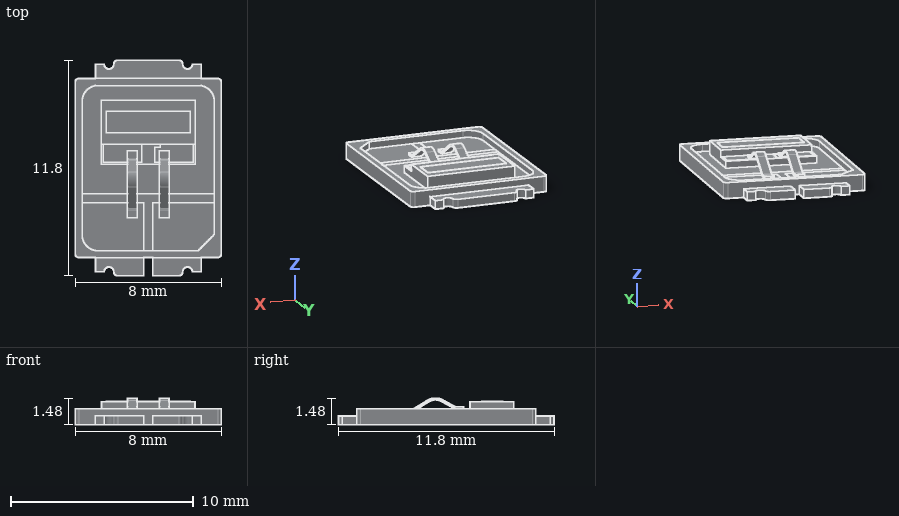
import cadquery as cq
import math

housing_width = 8.0
housing_length = 9.79
housing_height = 0.9
housing_corner_radius = 0.2

cavity_width = 7.22
cavity_back_y = 4.51
cavity_front_y = -4.52
cavity_corner_radius = 0.85
cavity_chamfer = 0.88

lead_thickness = 0.5
lead_gap = 0.48
back_lead_front_y = -1.4
front_lead_back_y = back_lead_front_y - lead_gap
lead_end_y = 5.9
tab_width = 5.79
tab_shoulder_y = 5.68
tab_round_radius = lead_end_y - tab_shoulder_y
notch_radius = 0.26
notch_center_x = 2.15

chip_width = 5.13
chip_back_y = 3.69
chip_front_y = 0.21
chip_step_y = 1.29
chip_step_z = 0.88
chip_top_z = 1.27

pad_height = 0.01
top_pad_width = 4.61
top_pad_back_y = 3.09
top_pad_front_y = 1.94
step_pad_inner_x = 0.35
step_pad_outer_x = 2.45
step_pad_front_y = 0.32
pad_notch_x = 0.66
pad_notch_y = 1.13

ribbon_width = 0.53
ribbon_thickness = 0.11
ribbon_center_x = 0.87
ribbon_back_y = 0.95
ribbon_front_y = -2.71
crest_y = -0.59
crest_z = 1.48
crest_radius = 0.81
back_slope = math.radians(28.8)
front_slope = math.radians(31.7)
foot_bend_radius = 0.14


def block(x_min, x_max, y_min, y_max, z_min, z_max):
    """Box between two corners."""
    size = (x_max - x_min, y_max - y_min, z_max - z_min)
    return cq.Workplane().box(*size, centered=False).translate((x_min, y_min, z_min))


def cavity_prism(z_min, z_max):
    """Solid with the cavity outline between two heights."""
    half_width = cavity_width / 2
    prism = block(-half_width, half_width, cavity_front_y, cavity_back_y, z_min, z_max)
    prism = prism.edges("|Z and (<X or >Y)").fillet(cavity_corner_radius)
    return prism.edges("|Z and >X and <Y").chamfer(cavity_chamfer)


def make_tab():
    """Back tab, from the middle of the part out to the lead end, with two round notches."""
    half_width = tab_width / 2
    notch_outer_x = notch_center_x + notch_radius
    notch_inner_x = notch_center_x - notch_radius
    notch_bottom_y = tab_shoulder_y - notch_radius
    end_half_width = notch_inner_x - tab_round_radius
    outline = (
        cq.Workplane()
        .moveTo(-half_width, 0)
        .lineTo(-half_width, tab_shoulder_y)
        .lineTo(-notch_outer_x, tab_shoulder_y)
        .threePointArc((-notch_center_x, notch_bottom_y), (-notch_inner_x, tab_shoulder_y))
        .radiusArc((-end_half_width, lead_end_y), tab_round_radius)
        .lineTo(end_half_width, lead_end_y)
        .radiusArc((notch_inner_x, tab_shoulder_y), tab_round_radius)
        .threePointArc((notch_center_x, notch_bottom_y), (notch_outer_x, tab_shoulder_y))
        .lineTo(half_width, tab_shoulder_y)
        .lineTo(half_width, 0)
        .close()
    )
    return outline.extrude(lead_thickness)


def make_lead(x_min, x_max, y_min, y_max):
    """Part of the lead plate, which fills the cavity outline and has a tab at each end."""
    tab = make_tab()
    plate = cavity_prism(0, lead_thickness).union(tab).union(tab.mirror("XZ"))
    return plate.intersect(block(x_min, x_max, y_min, y_max, 0, lead_thickness))


def make_back_lead():
    half_width = cavity_width / 2
    return make_lead(-half_width, half_width, back_lead_front_y, lead_end_y)


def make_front_lead(side):
    """Front lead on the -X side (side = -1) or the +X side (side = 1)."""
    x_min, x_max = sorted((side * lead_gap / 2, side * cavity_width / 2))
    return make_lead(x_min, x_max, -lead_end_y, front_lead_back_y)


def make_housing(leads):
    """Frame with the cavity above the leads and a matching opening for each lead."""
    frame = cq.Workplane().box(
        housing_width, housing_length, housing_height, centered=(True, True, False)
    )
    frame = frame.edges("|Z").fillet(housing_corner_radius)
    frame = frame.cut(cavity_prism(lead_thickness, housing_height))
    for lead in leads:
        frame = frame.cut(lead)
    return frame


def ribbon_side(depth):
    """Points (y, z) along the ribbon, back to front, at a depth below its upper side."""
    radius = crest_radius - depth
    center_z = crest_z - crest_radius
    back_foot_z = chip_step_z + pad_height + ribbon_thickness - depth
    front_foot_z = lead_thickness + ribbon_thickness - depth
    back_arc_y = crest_y + radius * math.sin(back_slope)
    back_arc_z = center_z + radius * math.cos(back_slope)
    front_arc_y = crest_y - radius * math.sin(front_slope)
    front_arc_z = center_z + radius * math.cos(front_slope)
    back_bend_y = back_arc_y + (back_arc_z - back_foot_z) / math.tan(back_slope)
    front_bend_y = front_arc_y - (front_arc_z - front_foot_z) / math.tan(front_slope)
    return [
        (ribbon_back_y, back_foot_z),
        (back_bend_y, back_foot_z),
        (back_arc_y, back_arc_z),
        (crest_y, center_z + radius),
        (front_arc_y, front_arc_z),
        (front_bend_y, front_foot_z),
        (ribbon_front_y, front_foot_z),
    ]


def make_ribbon(center_x):
    """Ribbon of even thickness: two flat feet, two slopes and a round crest."""
    upper = ribbon_side(0)
    lower = ribbon_side(ribbon_thickness)
    back_end, back_bend, back_arc, crest, front_arc, front_bend, front_end = upper
    low_back_end, low_back_bend, low_back_arc, low_crest, low_front_arc, low_front_bend, low_front_end = lower
    outline = (
        cq.Workplane("YZ")
        .polyline([back_end, back_bend, back_arc])
        .threePointArc(crest, front_arc)
        .lineTo(*front_bend)
        .lineTo(*front_end)
        .lineTo(*low_front_end)
        .lineTo(*low_front_bend)
        .lineTo(*low_front_arc)
        .threePointArc(low_crest, low_back_arc)
        .lineTo(*low_back_bend)
        .lineTo(*low_back_end)
        .close()
    )
    ribbon = outline.extrude(ribbon_width / 2, both=True)
    outer_bend_radius = foot_bend_radius + ribbon_thickness
    bends = [
        (back_bend, foot_bend_radius),
        (front_bend, foot_bend_radius),
        (low_back_bend, outer_bend_radius),
        (low_front_bend, outer_bend_radius),
    ]
    for (bend_y, bend_z), radius in bends:
        bend_edge = cq.selectors.NearestToPointSelector((0, bend_y, bend_z))
        ribbon = ribbon.edges("|X").edges(bend_edge).fillet(radius)
    return ribbon.translate((center_x, 0, 0))


def make_chip():
    """Stepped chip block with its pads and the two ribbons attached to the step."""
    half_width = chip_width / 2
    chip = block(-half_width, half_width, chip_front_y, chip_back_y, lead_thickness, chip_step_z)
    chip = chip.union(
        block(-half_width, half_width, chip_step_y, chip_back_y, chip_step_z, chip_top_z)
    )

    top_pad = block(
        -top_pad_width / 2,
        top_pad_width / 2,
        top_pad_front_y,
        top_pad_back_y,
        chip_top_z,
        chip_top_z + pad_height,
    )
    chip = chip.union(top_pad)

    step_pad_z = chip_step_z + pad_height
    for side in (-1, 1):
        x_min, x_max = sorted((side * step_pad_inner_x, side * step_pad_outer_x))
        pad = block(x_min, x_max, step_pad_front_y, chip_step_y, chip_step_z, step_pad_z)
        if side == 1:
            notch = block(x_min, pad_notch_x, pad_notch_y, chip_step_y, chip_step_z, step_pad_z)
            pad = pad.cut(notch)
        chip = chip.union(pad)

    for side in (-1, 1):
        chip = chip.union(make_ribbon(side * ribbon_center_x))
    return chip


back_lead = make_back_lead()
front_leads = [make_front_lead(side) for side in (-1, 1)]
housing = make_housing([back_lead, *front_leads])
chip = make_chip()

bodies = [housing, back_lead, *front_leads, chip]
result = cq.Compound.makeCompound([body.solids().val() for body in bodies])